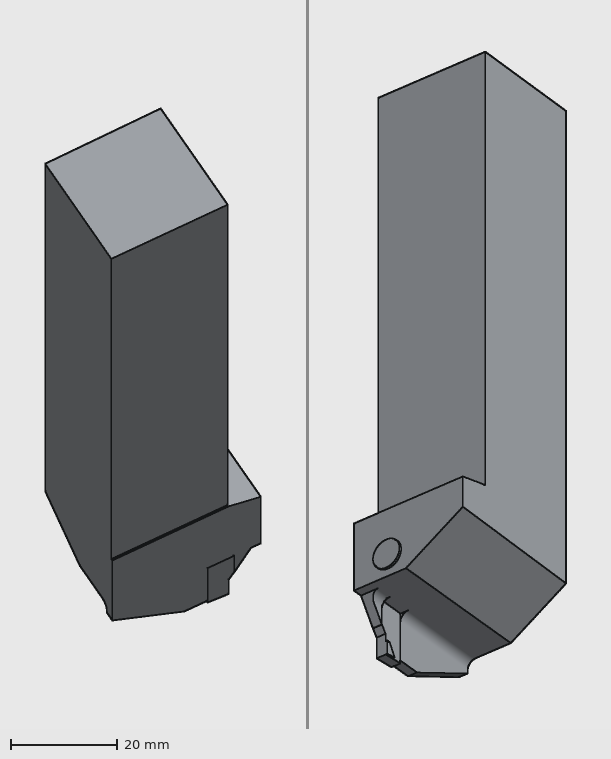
import cadquery as cq

total_height = 127.0
shank_width = 25.3
shank_depth = 25.3

head_offset = 0.4
side_taper = 0.4
head_right = shank_width + head_offset
head_back = 32.3
head_top = 28.7
lip_top = 26.9
head_bottom = 11.7
bevel_top = 19.8
bevel_end = 13.2
bevel_slope = (bevel_top - head_bottom) / bevel_end

blade_thickness = 2.2
blade_left = head_right - blade_thickness
blade_fillet = 1.9
blade_bottom = 1.0
blade_front_bottom = 9.0
blade_toe = 15.6
blade_back = 30.1

insert_front = 20.7
insert_back = 26.4
insert_bottom = 0.4
tip_back = 25.3
tip_top = 3.0
tip_overhang = 0.4
tip_ledge = 0.8
tip_root = 23.0
notch_z = 5.2
notch_inset = 0.6
bar_corner_rise = 1.0
tip_corner_drop = 0.5

boss_diameter = 6.4
overall_depth = 32.8
boss_height = overall_depth - head_back
boss_x = 17.5
boss_z = 16.5


def side_prism(points, x_start, x_end):
    """Prism along X from an outline of (Y, Z) points."""
    return cq.Workplane("YZ", origin=(x_start, 0, 0)).polyline(points).close().extrude(x_end - x_start)


def tapered_block(right, back, height):
    """Upright block whose plain side leans out toward the back, the same for shank and head."""
    plan = [
        (0, 0),
        (right, 0),
        (right, back),
        (-side_taper * back / head_back, back),
    ]
    return cq.Workplane("XY").polyline(plan).close().extrude(height)


def make_shank():
    block = tapered_block(shank_width, shank_depth, total_height - head_top)
    return block.translate((0, 0, head_top))


def make_head():
    """Head block with a sloping lip at the back and a bevelled lower corner."""
    block = tapered_block(head_right, head_back, head_top)
    side_outline = [
        (0, head_bottom),
        (head_back, head_bottom),
        (head_back, lip_top),
        (shank_depth, head_top),
        (0, head_top),
    ]
    bevel_outline = [
        (-side_taper, bevel_top + bevel_slope * side_taper),
        (bevel_end, head_bottom),
        (head_right, head_bottom),
        (head_right, head_top),
        (-side_taper, head_top),
    ]
    bevelled = cq.Workplane("XZ").polyline(bevel_outline).close().extrude(-head_back)
    return block.intersect(side_prism(side_outline, -side_taper, head_right)).intersect(bevelled)


def make_blade():
    """Thin blade under the head, with a concave fillet where it leaves the head."""
    section = (
        cq.Workplane("XZ")
        .moveTo(head_right, 0)
        .lineTo(head_right, head_bottom)
        .lineTo(blade_left - blade_fillet, head_bottom)
        .radiusArc((blade_left, head_bottom - blade_fillet), blade_fillet)
        .lineTo(blade_left, 0)
        .close()
        .extrude(-head_back)
    )
    outline = [
        (0, head_bottom),
        (0, blade_front_bottom),
        (blade_toe, blade_bottom),
        (insert_front, blade_bottom),
        (insert_front, notch_z),
        (insert_back - notch_inset, notch_z),
        (blade_back, head_bottom),
    ]
    return section.intersect(side_prism(outline, blade_left - blade_fillet, head_right))


def make_insert_seat():
    """Space for the insert; it also clears the fillet beside the insert."""
    return cq.Workplane("XY", origin=(blade_left - blade_fillet, insert_front, 0)).rect(
        blade_thickness + blade_fillet, insert_back - insert_front, centered=False
    ).extrude(head_bottom)


def make_boss():
    return cq.Workplane("XZ", origin=(boss_x, head_back, boss_z)).circle(boss_diameter / 2).extrude(-boss_height)


def make_holder():
    blade = make_blade().cut(make_insert_seat())
    return make_shank().union(make_head()).union(blade).union(make_boss()).clean()


def make_insert():
    """Bar through the blade, ending in a slightly wider cutting tip."""
    bar_outline = [
        (insert_front, insert_bottom),
        (insert_front, head_bottom),
        (insert_back, head_bottom),
        (insert_back, notch_z + bar_corner_rise),
        (tip_back, notch_z - tip_corner_drop),
        (tip_back, 0),
    ]
    tip_outline = [
        (tip_back, 0),
        (tip_back, tip_top),
        (tip_back - tip_ledge, tip_top),
        (tip_root, insert_bottom),
    ]
    bar = side_prism(bar_outline, blade_left, head_right)
    tip = side_prism(tip_outline, blade_left - tip_overhang, head_right)
    return bar.union(tip)


holder = make_holder()
insert = make_insert()
result = cq.Compound.makeCompound([holder.val(), insert.val()])